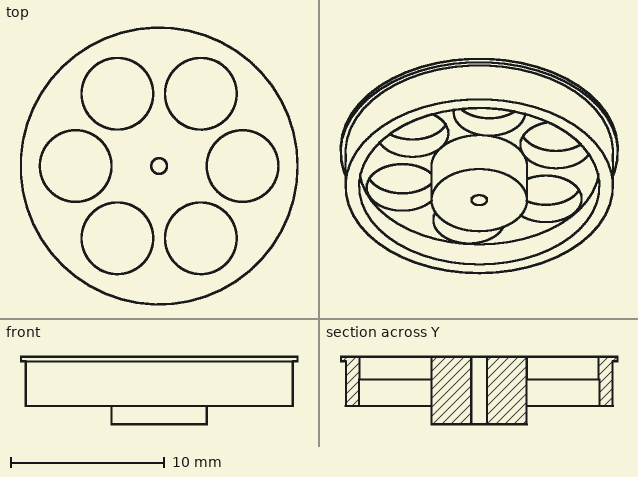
import cadquery as cq

flange_diameter = 18.0
flange_thickness = 0.3
rim_diameter = 17.37
rim_inner_diameter = 15.6
rim_bottom_depth = 3.2
web_thickness = 1.5
hub_diameter = 6.21
total_height = 4.4
bore_diameter = 1.0
window_diameter = 4.65
window_circle_radius = 5.42
window_count = 6


def disc(diameter, bottom, top):
    """Solid cylinder on the Z axis between two heights."""
    return cq.Workplane("XY").workplane(offset=bottom).circle(diameter / 2).extrude(top - bottom)


rim_bottom = total_height - rim_bottom_depth
web_bottom = total_height - web_thickness
flange_bottom = total_height - flange_thickness

flange = disc(flange_diameter, flange_bottom, total_height)
drum = disc(rim_diameter, rim_bottom, total_height)
recess = disc(rim_inner_diameter, rim_bottom, web_bottom)
wheel = drum.cut(recess).union(flange)

hub = disc(hub_diameter, 0, flange_bottom)
bore = disc(bore_diameter, 0, total_height)

windows = (
    cq.Workplane("XY")
    .workplane(offset=web_bottom)
    .polarArray(window_circle_radius, 0, 360, window_count)
    .circle(window_diameter / 2)
    .extrude(web_thickness)
)

result = wheel.union(hub).cut(bore).cut(windows)